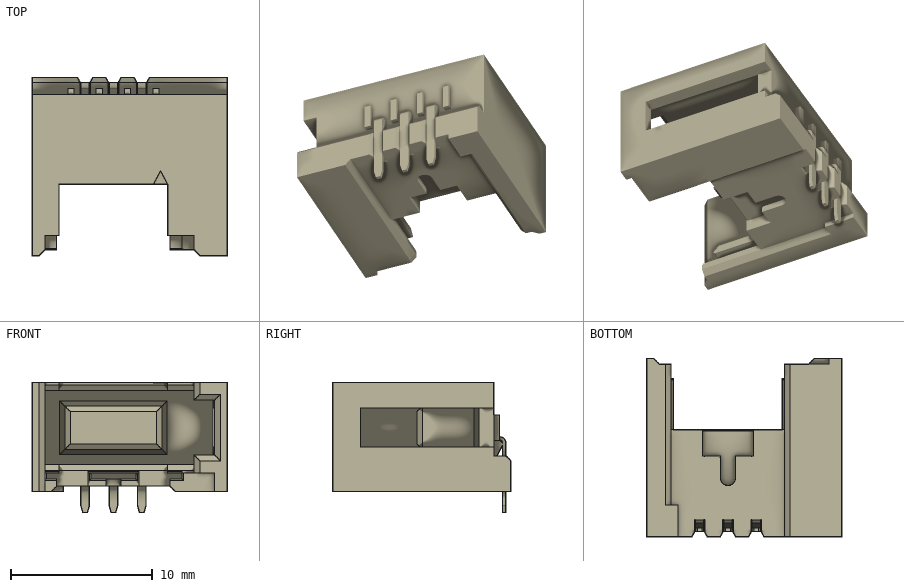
import cadquery as cq

WIDTH = 13.8
HEIGHT = 7.71
BODY_DEPTH = 11.4
TOTAL_DEPTH = 12.6
LEFT_WALL = 0.91
LEAD_IN = 0.41

CAVITY_BOTTOM = 1.9
CAVITY_TOP = 7.13
CAVITY_RIGHT = 11.44
CAVITY_BACK = 10.35

EDGE_Y = 1.42
NOTCH_Y = 5.04
NOTCH_LEFT = 1.92
NOTCH_RIGHT = 9.58
NOTCH_CENTRE = (NOTCH_LEFT + NOTCH_RIGHT) / 2

GROOVE_BOTTOM = 2.6
GROOVE_TOP = 6.46
GROOVE_RIGHT = 12.89
GROOVE_DRAFT = 0.1
WINDOW_FRONT = 1.96
WINDOW_BOTTOM = 3.16
WINDOW_TOP = 5.9

POST_FRONT = 5.96
POST_BEVEL = 0.39
POST_ROOT_BEVEL = 0.36
POST_FACE_WIDTH = 6.1
POST_FACE_HEIGHT = 2.29
POST_Z = 4.51

STANDOFF = 0.39
RAIL_FRONT = 0.41
RAIL_TOP = 1.31
RAIL_SLOT_BOTTOM = 0.88
SLOT_LEAD_IN = 0.1
LEFT_RAIL_END = 1.74
LEFT_SLOT_START = 1.01
RIGHT_RAIL_START = 9.73
RIGHT_SLOT_END = 10.6
REAR_FOOT_END = 2.21
REAR_FOOT_FRONT = 10.35

RECESS_WIDTH = 3.62
RECESS_BACK = 6.9
LATCH_WIDTH = 3.17
LATCH_BACK = 8.97
STEM_WIDTH = 1.06

LEDGE_HEIGHT = 2.53
LEDGE_CHAMFER = 0.35

PIN_COUNT = 3
PIN_PITCH = 2.0
PIN_WIDTH = 0.62
PIN_THICKNESS = 0.25
PIN_BACK = 12.24
PIN_TOP = 3.88
PIN_BEND_RADIUS = 0.43
PIN_DROP = 1.49
PIN_TIP_LENGTH = 0.51
PIN_TIP_WIDTH = 0.33
PIN_SLOT_WIDTH = 0.72
PIN_SLOT_FLARE = 0.18
PIN_SLOT_FLARE_DEPTH = 0.33
RIB_WIDTH = 0.44
RIB_DEPTH = 0.4
RIB_BOTTOM = 3.62
RIB_TOP = 5.42
SUPPORT_FOOT = 0.22
SUPPORT_SHOULDER = 3.24

MARK_WIDTH = 1.01
MARK_LENGTH = 0.97
MARK_DEPTH = 0.05


def box(x, y, z):
    """Box spanning the (low, high) pairs x, y and z."""
    size = (x[1] - x[0], y[1] - y[0], z[1] - z[0])
    return cq.Workplane("XY").box(*size, centered=False).translate((x[0], y[0], z[0]))


def along_x(points, x):
    """Prism with a (y, z) outline, spanning the pair x."""
    return cq.Workplane("YZ").polyline(points).close().extrude(x[1] - x[0]).translate((x[0], 0, 0))


def along_y(points, y):
    """Prism with an (x, z) outline, spanning the pair y."""
    return cq.Workplane("XZ").polyline(points).close().extrude(y[0] - y[1]).translate((0, y[0], 0))


def along_z(points, z):
    """Prism with an (x, y) outline, spanning the pair z."""
    return cq.Workplane("XY").polyline(points).close().extrude(z[1] - z[0]).translate((0, 0, z[0]))


def frustum(front, back, y):
    """Loft between two rectangles (x low, x high, z low, z high) over the pair y."""
    def section(rect, at):
        x0, x1, z0, z1 = rect
        corners = [(x0, at, z0), (x1, at, z0), (x1, at, z1), (x0, at, z1)]
        return cq.Wire.makePolygon([cq.Vector(*c) for c in corners], close=True)

    return cq.Workplane(cq.Solid.makeLoft([section(front, y[0]), section(back, y[1])], True))


def grown(rect, margin):
    """Rectangle (x low, x high, z low, z high) enlarged by a margin all round."""
    x0, x1, z0, z1 = rect
    return (x0 - margin, x1 + margin, z0 - margin, z1 + margin)


def shell():
    """Solid housing block with the chamfered rear ledge."""
    outline = [
        (0, 0), (TOTAL_DEPTH, 0), (TOTAL_DEPTH, LEDGE_HEIGHT - LEDGE_CHAMFER),
        (TOTAL_DEPTH - LEDGE_CHAMFER, LEDGE_HEIGHT), (BODY_DEPTH, LEDGE_HEIGHT),
        (BODY_DEPTH, HEIGHT), (0, HEIGHT),
    ]
    return along_x(outline, (0, WIDTH))


def front_opening():
    """Full-height stepped cut-out with bevelled sides at the mouth."""
    plan = [
        (LEFT_WALL - LEAD_IN, 0), (LEFT_WALL, LEAD_IN), (LEFT_WALL, EDGE_Y), (NOTCH_LEFT, EDGE_Y),
        (NOTCH_LEFT, NOTCH_Y), (NOTCH_RIGHT, NOTCH_Y), (NOTCH_RIGHT, EDGE_Y),
        (CAVITY_RIGHT, EDGE_Y), (CAVITY_RIGHT, LEAD_IN), (CAVITY_RIGHT + LEAD_IN, 0),
    ]
    return along_z(plan, (0, HEIGHT))


def cavity():
    """Plug cavity, with bevels where the roof and floor begin."""
    space = box((LEFT_WALL, CAVITY_RIGHT), (0, CAVITY_BACK), (CAVITY_BOTTOM, CAVITY_TOP))
    edges = [
        (LEFT_WALL, NOTCH_LEFT, EDGE_Y),
        (NOTCH_LEFT, NOTCH_RIGHT, NOTCH_Y),
        (NOTCH_RIGHT, CAVITY_RIGHT, EDGE_Y),
    ]
    for left, right, y in edges:
        bevel = [
            (y, CAVITY_BOTTOM - LEAD_IN), (y + LEAD_IN, CAVITY_BOTTOM),
            (y + LEAD_IN, CAVITY_TOP), (y, CAVITY_TOP + LEAD_IN),
        ]
        space = space.union(along_x(bevel, (left, right)))
    return space


def keying_groove():
    """Drafted groove with a bevelled mouth, and the window through the wall."""
    inside = CAVITY_RIGHT - LEAD_IN
    front = (inside, GROOVE_RIGHT, GROOVE_BOTTOM, GROOVE_TOP)
    back = (inside, GROOVE_RIGHT - GROOVE_DRAFT, GROOVE_BOTTOM, GROOVE_TOP)
    window = box(
        (GROOVE_RIGHT - GROOVE_DRAFT, WIDTH), (WINDOW_FRONT, BODY_DEPTH), (WINDOW_BOTTOM, WINDOW_TOP)
    )
    mouth = frustum(grown(front, LEAD_IN), front, (0, LEAD_IN))
    return mouth.union(frustum(front, back, (LEAD_IN, CAVITY_BACK))).union(window)


def post():
    """Block with a bevelled front and root that stands on the back of the cavity."""
    face = (
        NOTCH_CENTRE - POST_FACE_WIDTH / 2, NOTCH_CENTRE + POST_FACE_WIDTH / 2,
        POST_Z - POST_FACE_HEIGHT / 2, POST_Z + POST_FACE_HEIGHT / 2,
    )
    block = grown(face, POST_BEVEL)
    root = grown(block, POST_ROOT_BEVEL)
    block_front = POST_FRONT + POST_BEVEL
    block_back = CAVITY_BACK - POST_ROOT_BEVEL
    nose = frustum(face, block, (POST_FRONT, block_front))
    middle = frustum(block, block, (block_front, block_back))
    return nose.union(middle).union(frustum(block, root, (block_back, CAVITY_BACK)))


def rails():
    """Guide rails that run forward below the floor on both sides."""
    span = (RAIL_FRONT, NOTCH_Y)
    left = [
        (LEFT_WALL, 0), (LEFT_RAIL_END - STANDOFF, 0), (LEFT_RAIL_END, STANDOFF),
        (LEFT_RAIL_END, RAIL_SLOT_BOTTOM), (LEFT_WALL, RAIL_SLOT_BOTTOM),
    ]
    right = [
        (RIGHT_RAIL_START + STANDOFF, 0), (GROOVE_RIGHT, 0), (GROOVE_RIGHT, RAIL_TOP),
        (RIGHT_SLOT_END, RAIL_TOP), (RIGHT_SLOT_END, RAIL_SLOT_BOTTOM),
        (RIGHT_RAIL_START, RAIL_SLOT_BOTTOM), (RIGHT_RAIL_START, STANDOFF),
    ]
    return along_y(left, span).union(along_y(right, span))


def rail_clearance():
    """Space around the rails, below the floor and in front of them."""
    left = box((LEFT_SLOT_START, NOTCH_LEFT), (0, NOTCH_Y), (0, RAIL_TOP))
    right = box((NOTCH_RIGHT, GROOVE_RIGHT), (0, NOTCH_Y), (0, RAIL_TOP))
    return left.union(right)


def slot_lead_ins():
    """Small bevels at the mouths of the slots between rails and floor."""
    right = (NOTCH_RIGHT, RIGHT_SLOT_END, RAIL_SLOT_BOTTOM, RAIL_TOP)
    bevels = frustum(grown(right, SLOT_LEAD_IN), right, (RAIL_FRONT, RAIL_FRONT + SLOT_LEAD_IN))
    rail_mouth = [
        (RAIL_FRONT, RAIL_SLOT_BOTTOM - SLOT_LEAD_IN),
        (RAIL_FRONT + SLOT_LEAD_IN, RAIL_SLOT_BOTTOM), (RAIL_FRONT, RAIL_SLOT_BOTTOM),
    ]
    bevels = bevels.union(along_x(rail_mouth, (LEFT_WALL, LEFT_RAIL_END)))
    left_x = (LEFT_WALL, NOTCH_LEFT)
    recess_x = (NOTCH_CENTRE - RECESS_WIDTH / 2, NOTCH_CENTRE + RECESS_WIDTH / 2)
    for x, y in ((left_x, EDGE_Y), (right[:2], EDGE_Y), (recess_x, NOTCH_Y)):
        floor_edge = [(y, RAIL_TOP), (y + SLOT_LEAD_IN, RAIL_TOP), (y, RAIL_TOP + SLOT_LEAD_IN)]
        bevels = bevels.union(along_x(floor_edge, x))
    return bevels


def underside():
    """Clearance between the bevelled rails, ending on the left at the rear foot."""
    between_rails = [
        (LEFT_RAIL_END - STANDOFF, 0), (RIGHT_RAIL_START + STANDOFF, 0),
        (RIGHT_RAIL_START, STANDOFF), (LEFT_RAIL_END, STANDOFF),
    ]
    rear_foot = box((LEFT_WALL, REAR_FOOT_END), (REAR_FOOT_FRONT, TOTAL_DEPTH), (0, STANDOFF))
    return along_y(between_rails, (0, TOTAL_DEPTH)).cut(rear_foot)


def latch_recess():
    """Recess under the floor that narrows to a T-shaped slot with a round end."""
    def centred(width):
        return (NOTCH_CENTRE - width / 2, NOTCH_CENTRE + width / 2)

    recess = box(centred(RECESS_WIDTH), (NOTCH_Y, RECESS_BACK), (0, RAIL_TOP))
    bar = centred(LATCH_WIDTH) + (RAIL_SLOT_BOTTOM, RAIL_TOP)
    mouth_left, mouth_right, mouth_bottom, _ = grown(bar, SLOT_LEAD_IN)
    mouth = (mouth_left, mouth_right, mouth_bottom, RAIL_TOP)
    head = box(centred(LATCH_WIDTH), (RECESS_BACK, LATCH_BACK), (RAIL_SLOT_BOTTOM, RAIL_TOP))
    lead_in = frustum(mouth, bar, (RECESS_BACK, RECESS_BACK + SLOT_LEAD_IN))
    stem_centre = LATCH_BACK - STEM_WIDTH / 2
    stem = box(centred(STEM_WIDTH), (RECESS_BACK, stem_centre), (0, RAIL_SLOT_BOTTOM))
    stem_end = (
        cq.Workplane("XY").center(NOTCH_CENTRE, stem_centre).circle(STEM_WIDTH / 2).extrude(RAIL_SLOT_BOTTOM)
    )
    return recess.union(head).union(lead_in).union(stem).union(stem_end)


def pin_slot(x):
    """Flared vertical slot through the rear ledge behind one pin."""
    half = PIN_SLOT_WIDTH / 2
    wide = half + PIN_SLOT_FLARE
    flare_y = TOTAL_DEPTH - PIN_SLOT_FLARE_DEPTH
    plan = [
        (x - half, BODY_DEPTH), (x + half, BODY_DEPTH), (x + half, flare_y), (x + wide, TOTAL_DEPTH),
        (x - wide, TOTAL_DEPTH), (x - half, flare_y),
    ]
    return along_z(plan, (0, LEDGE_HEIGHT))


def pin(x):
    """Bent flat pin, tapered at its lower end."""
    inner_radius = PIN_BEND_RADIUS - PIN_THICKNESS
    bend_y = PIN_BACK - PIN_BEND_RADIUS
    bend_z = PIN_TOP - PIN_BEND_RADIUS
    strip = (
        cq.Workplane("YZ")
        .moveTo(CAVITY_BACK, PIN_TOP)
        .lineTo(bend_y, PIN_TOP)
        .radiusArc((PIN_BACK, bend_z), PIN_BEND_RADIUS)
        .lineTo(PIN_BACK, -PIN_DROP)
        .lineTo(PIN_BACK - PIN_THICKNESS, -PIN_DROP)
        .lineTo(PIN_BACK - PIN_THICKNESS, bend_z)
        .radiusArc((bend_y, PIN_TOP - PIN_THICKNESS), -inner_radius)
        .lineTo(CAVITY_BACK, PIN_TOP - PIN_THICKNESS)
        .close()
        .extrude(PIN_WIDTH / 2, both=True)
        .translate((x, 0, 0))
    )
    half = PIN_WIDTH / 2
    tip = PIN_TIP_WIDTH / 2
    taper_z = PIN_TIP_LENGTH - PIN_DROP
    blade = [
        (x - tip, -PIN_DROP), (x + tip, -PIN_DROP), (x + half, taper_z),
        (x + half, PIN_TOP), (x - half, PIN_TOP), (x - half, taper_z),
    ]
    return strip.intersect(along_y(blade, (CAVITY_BACK, PIN_BACK)))


def pin_support(x):
    """Wedge on the rear wall that fills the inside of the pin bend."""
    pin_inside = PIN_BACK - PIN_THICKNESS
    bend_y = PIN_BACK - PIN_BEND_RADIUS
    outline = [
        (BODY_DEPTH, LEDGE_HEIGHT), (BODY_DEPTH + SUPPORT_FOOT, LEDGE_HEIGHT),
        (pin_inside, SUPPORT_SHOULDER), (pin_inside, PIN_TOP - PIN_BEND_RADIUS),
        (bend_y, PIN_TOP - PIN_THICKNESS), (BODY_DEPTH, PIN_TOP - PIN_THICKNESS),
    ]
    return along_x(outline, (x - PIN_WIDTH / 2, x + PIN_WIDTH / 2))


def rib(x):
    """Upright rib on the rear wall."""
    return box(
        (x - RIB_WIDTH / 2, x + RIB_WIDTH / 2), (BODY_DEPTH, BODY_DEPTH + RIB_DEPTH), (RIB_BOTTOM, RIB_TOP)
    )


def orientation_mark():
    """Shallow triangle in the roof, at the right end of the notch."""
    plan = [
        (NOTCH_RIGHT - MARK_WIDTH, NOTCH_Y), (NOTCH_RIGHT, NOTCH_Y),
        (NOTCH_RIGHT - MARK_WIDTH / 2, NOTCH_Y + MARK_LENGTH),
    ]
    return along_z(plan, (HEIGHT - MARK_DEPTH, HEIGHT))


housing = shell()
for hollow in (front_opening(), cavity(), keying_groove(), rail_clearance()):
    housing = housing.cut(hollow)
housing = housing.union(rails()).union(post())
for hollow in (slot_lead_ins(), underside(), latch_recess(), orientation_mark()):
    housing = housing.cut(hollow)

first_pin_x = NOTCH_CENTRE - PIN_PITCH * (PIN_COUNT - 1) / 2
for i in range(PIN_COUNT):
    pin_x = first_pin_x + i * PIN_PITCH
    housing = housing.cut(pin_slot(pin_x)).union(pin_support(pin_x)).union(pin(pin_x))
for i in range(PIN_COUNT + 1):
    housing = housing.union(rib(first_pin_x + (i - 0.5) * PIN_PITCH))

result = housing.solids()